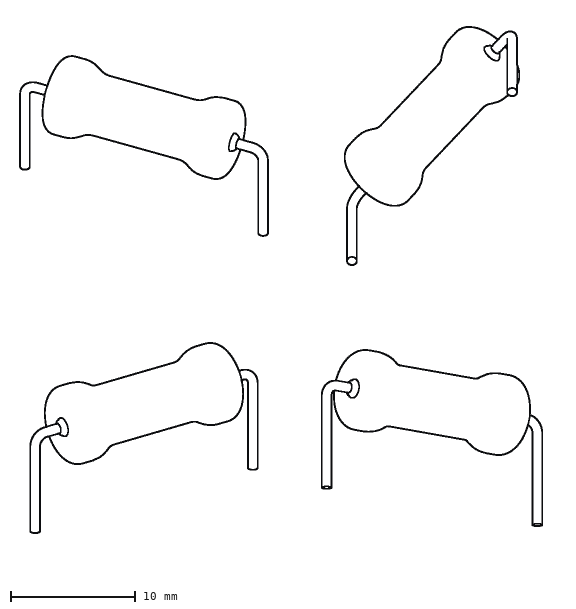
import cadquery as cq
import math

OVERALL_LENGTH = 21.62
LEAD_DIAMETER = 0.8
OVERALL_HEIGHT = 11.85
BEND_RADIUS = 1.0

BODY_LENGTH = 15.5
END_DIAMETER = 6.5
BARREL_DIAMETER = 5.0
END_ROUND = 0.8
END_BAND_WIDTH = 0.9
FLARE_RADIUS = 2.0

COLLAR_SPHERE_RADIUS = 0.8
COLLAR_SPHERE_INSET = 0.24

half_body = BODY_LENGTH / 2
end_radius = END_DIAMETER / 2
barrel_radius = BARREL_DIAMETER / 2
lead_radius = LEAD_DIAMETER / 2
lead_drop = OVERALL_HEIGHT - end_radius
lead_x = OVERALL_LENGTH / 2 - lead_radius
diagonal = math.sqrt(0.5)


def make_body():
    """Solid of revolution with a rounded bulb at each end of a slimmer barrel."""
    arc_drop = (end_radius - barrel_radius) / 2
    arc_width = math.sqrt(FLARE_RADIUS**2 - (FLARE_RADIUS - arc_drop) ** 2)
    band_outer_x = half_body - END_ROUND
    band_inner_x = band_outer_x - END_BAND_WIDTH
    neck_middle_x = band_inner_x - arc_width
    barrel_end_x = neck_middle_x - arc_width
    neck_middle_radius = end_radius - arc_drop

    profile = (
        cq.Workplane("XY")
        .moveTo(-half_body, 0)
        .lineTo(half_body, 0)
        .lineTo(half_body, end_radius - END_ROUND)
        .radiusArc((band_outer_x, end_radius), -END_ROUND)
        .lineTo(band_inner_x, end_radius)
        .radiusArc((neck_middle_x, neck_middle_radius), -FLARE_RADIUS)
        .radiusArc((barrel_end_x, barrel_radius), FLARE_RADIUS)
        .lineTo(-barrel_end_x, barrel_radius)
        .radiusArc((-neck_middle_x, neck_middle_radius), FLARE_RADIUS)
        .radiusArc((-band_inner_x, end_radius), -FLARE_RADIUS)
        .lineTo(-band_outer_x, end_radius)
        .radiusArc((-half_body, end_radius - END_ROUND), -END_ROUND)
        .close()
    )
    return profile.revolve(360, (0, 0, 0), (1, 0, 0))


def make_collar(side):
    """Spherical dome on the body's end face, bored for the lead; side is +1 or -1 along X."""
    tip_from_centre = math.sqrt(COLLAR_SPHERE_RADIUS**2 - lead_radius**2)
    base_radius = math.sqrt(COLLAR_SPHERE_RADIUS**2 - COLLAR_SPHERE_INSET**2)
    centre_x = half_body - COLLAR_SPHERE_INSET
    face_x = side * half_body
    tip_x = side * (centre_x + tip_from_centre)
    dome_middle = (
        side * (centre_x + COLLAR_SPHERE_RADIUS * diagonal),
        COLLAR_SPHERE_RADIUS * diagonal,
    )
    return (
        cq.Workplane("XY")
        .moveTo(face_x, lead_radius)
        .lineTo(tip_x, lead_radius)
        .threePointArc(dome_middle, (face_x, base_radius))
        .close()
        .revolve(360, (0, 0, 0), (1, 0, 0))
    )


def make_lead(side):
    """Round wire from the body's end face, bent down to its tip; side is +1 or -1 along X."""
    bend_start_x = side * (lead_x - BEND_RADIUS)
    bend_middle = (
        bend_start_x + side * BEND_RADIUS * diagonal,
        BEND_RADIUS * (diagonal - 1),
    )
    path = (
        cq.Workplane("XZ")
        .moveTo(side * half_body, 0)
        .lineTo(bend_start_x, 0)
        .threePointArc(bend_middle, (side * lead_x, -BEND_RADIUS))
        .lineTo(side * lead_x, -lead_drop)
    )
    return (
        cq.Workplane("YZ", origin=(side * half_body, 0, 0))
        .circle(lead_radius)
        .sweep(path)
    )


body = make_body()
collars = []
leads = []
for end in (-1, 1):
    collars.append(make_collar(end).val())
    leads.append(make_lead(end).val())

result = cq.Compound.makeCompound([body.val(), *collars, *leads])